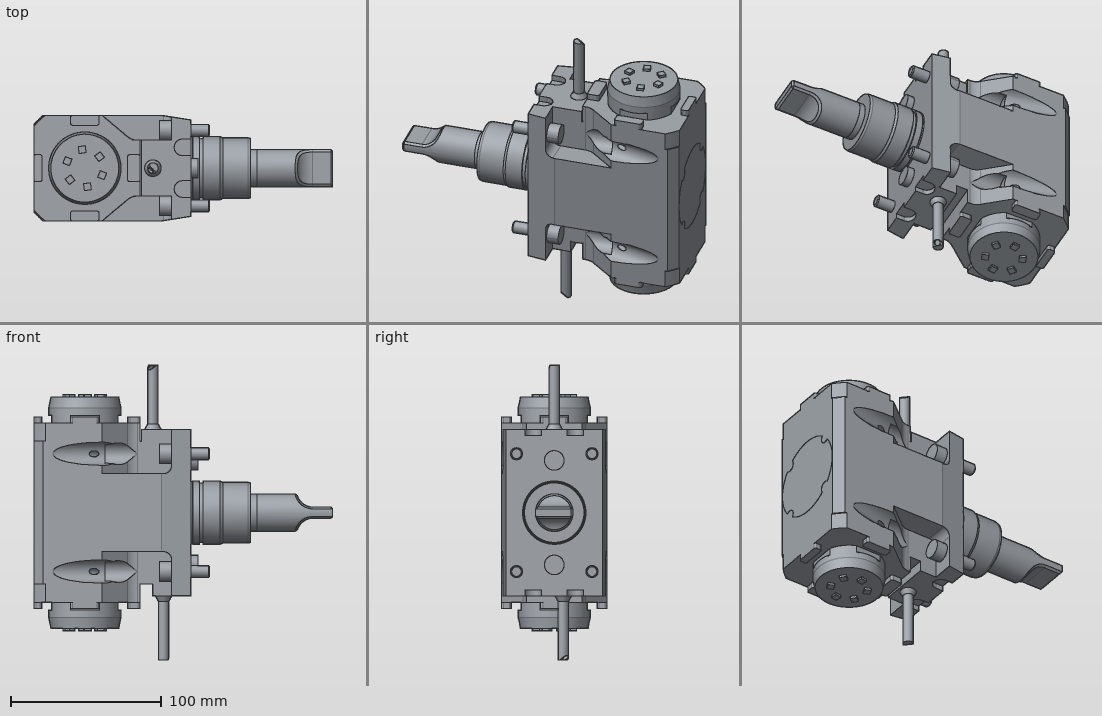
import cadquery as cq
import math


BACK_X = -104.0
HALF_WIDTH = 35.0
BODY_HALF_HEIGHT = 47.3
PLATE_HALF_HEIGHT = 59.4
PLATE_END_X = -33.5
PLATE_GAP = 0.8
BODY_CHAMFER = 6.0
PLATE_CORNER_RADIUS = 43.7
NECK_HALF_WIDTH = 18.5
SHOULDER_ANGLE = 40.0
SHOULDER_CORNER_X = -39.1
SHOULDER_FILLET = 10.0

FLANGE_BACK_X = -12.7
FLANGE_HALF_HEIGHT = 55.14
FLANGE_FACE_HALF_WIDTH = 32.0
RIB_END_X = -19.3
RIB_HALF_HEIGHT = 25.8
RIB_FILLET = 5.5
NECK_BOTTOM_STEP_X = -25.3
SLOT_WIDTH = 11.0
SLOT_LENGTH = 11.0
SLOT_DEPTH = 4.0
SLOT_Y = 13.8

HEAD_X = -70.2
HEAD_RADIUS = 24.0
HEAD_RIM_RADIUS = 22.5
HEAD_RIDGE_Z = 69.4
HEAD_FACE_Z = 76.6
HEAD_FLAT_DISTANCE = 22.0
HEAD_FLAT_TOP_Z = 64.5
HEAD_KEY_COUNT = 6
HEAD_KEY_SIZE = 4.6
HEAD_KEY_HEIGHT = 1.7
HEAD_KEY_CIRCLE_RADIUS = 12.4
HEAD_KEY_START_ANGLE = 38.0
LUG_TOP_Z = 63.5
LUG_GAP_RADIUS = 28.4
LUG_WIDTH_Y_SIDES = 18.8
LUG_WIDTH_X_SIDES = 18.0
LUG_FILLET = 1.4

COVER_RADIUS = 28.6
COVER_NOTCH_RADIUS = 4.0
COVER_RECESS = 0.1

SCREW_Y = 25.0
SCREW_Z = 39.0
SCREW_DIAMETER = 8.0
SCREW_END_X = 12.4
SCREW_CHAMFER = 0.8
SCREW_HEAD_DIAMETER = 13.0
SCREW_HEAD_HEIGHT = 8.0
GROOVE_RADIUS = 7.7
GROOVE_TIP_X = -91.2
GROOVE_ANGLE = 14.1
GROOVE_BORE_RADIUS = 7.2
GROOVE_BORE_START_X = -56.9
GROOVE_BORE_END_X = -33.0
COOLANT_HOLE_DIAMETER = 4.0
COOLANT_HOLE_X = -64.1
COOLANT_HOLE_DEPTH = 8.0
COOLANT_HOLE_ANGLE = 52.0
PIN_DIAMETER = 13.0
PIN_LENGTH = 4.8
PIN_Z = 34.6

SPINDLE_RADIUS = 21.0
SPINDLE_LEAD_RADIUS = 20.8
RING_GROOVE_RADIUS = 19.7
SPINDLE_BODY_RADIUS = 20.15
SPINDLE_TIP_RADIUS = 19.7
SPINDLE_COLLAR_X = 1.0
SPINDLE_COLLAR_BEVEL = 0.3
RING_GROOVE_START_X = 5.6
RING_GROOVE_END_X = 8.1
SPINDLE_COLLAR_END_X = 19.5
SPINDLE_BODY_X = 21.2
SPINDLE_BODY_END_X = 38.0
SPINDLE_END_X = 39.7
SHAFT_RADIUS = 12.5
SHAFT_LINE_X = 43.7
SHAFT_NECK_RADIUS = 12.45
TANG_START_X = 70.4
TANG_FLAT_X = 80.6
TANG_END_X = 94.0
TANG_HALF_THICKNESS = 3.8
TANG_CHAMFER = 1.3

PIPE_RADIUS = 3.5
PIPE_END_Z = 97.64
PIPE_BASE_RADIUS = 5.5
PIPE_BASE_HEIGHT = 3.6
TOP_PIPE_POSITION = (-25.1, 0.0)
BOTTOM_PIPE_POSITION = (-18.0, 6.0)
TOP_PIPE_DIRECTION = -135.0
BOTTOM_PIPE_DIRECTION = 45.0
PIPE_CUT_OFFSET = 0.5
PIPE_NOZZLE_DIAMETER = 4.0
PIPE_NOZZLE_DEPTH = 2.5

FAR = 200.0
SELECT_MARGIN = 0.1


def box(x_range, y_range, z_range):
    """Axis-aligned box spanning the given ranges."""
    size = [high - low for low, high in (x_range, y_range, z_range)]
    corner = [low for low, _ in (x_range, y_range, z_range)]
    return cq.Workplane("XY").box(*size, centered=False).translate(tuple(corner))


def x_cylinder(radius, x_start, x_end, y=0.0, z=0.0):
    """Cylinder whose axis is parallel to X."""
    return cq.Workplane("YZ", origin=(x_start, y, z)).circle(radius).extrude(x_end - x_start)


def mirrored_z(part):
    """The part joined with its mirror image below the XY plane."""
    return part.union(part.mirror("XY"))


def shoulder_outline(end_x):
    """Plan outline of the body, narrowing over sloped shoulders to the neck width."""
    slope_run = (HALF_WIDTH - NECK_HALF_WIDTH) / math.tan(math.radians(SHOULDER_ANGLE))
    shoulder_start_x = SHOULDER_CORNER_X - slope_run
    return cq.Workplane("XY").polyline([
        (BACK_X, -HALF_WIDTH),
        (shoulder_start_x, -HALF_WIDTH),
        (SHOULDER_CORNER_X, -NECK_HALF_WIDTH),
        (end_x, -NECK_HALF_WIDTH),
        (end_x, NECK_HALF_WIDTH),
        (SHOULDER_CORNER_X, NECK_HALF_WIDTH),
        (shoulder_start_x, HALF_WIDTH),
        (BACK_X, HALF_WIDTH),
    ]).close()


def shouldered_block(end_x, half_height):
    """Block with the shouldered outline and rounded inner corners, centred on Z = 0."""
    block = shoulder_outline(end_x).extrude(2 * half_height).translate((0, 0, -half_height))
    inner_corners = cq.selectors.BoxSelector(
        (SHOULDER_CORNER_X - SELECT_MARGIN, -FAR, -FAR), (SHOULDER_CORNER_X + SELECT_MARGIN, FAR, FAR)
    )
    return block.edges("|Z").edges(inner_corners).fillet(SHOULDER_FILLET)


def make_body():
    """Gear housing between the end plates, with chamfered rear corners."""
    body = shouldered_block(FLANGE_BACK_X, BODY_HALF_HEIGHT)
    return body.edges("|Z").edges("<X").chamfer(BODY_CHAMFER)


def make_end_plates():
    """Plates above and below the housing; their rear corners follow an arc about the head axis."""
    plates = shouldered_block(PLATE_END_X, PLATE_HALF_HEIGHT)
    corner_arc = (
        cq.Workplane("XY", origin=(HEAD_X, 0, -PLATE_HALF_HEIGHT))
        .circle(PLATE_CORNER_RADIUS)
        .extrude(2 * PLATE_HALF_HEIGHT)
    )
    front_half = box((HEAD_X, 0), (-HALF_WIDTH, HALF_WIDTH), (-PLATE_HALF_HEIGHT, PLATE_HALF_HEIGHT))
    plates = plates.intersect(corner_arc.union(front_half))
    full_width = (-HALF_WIDTH, HALF_WIDTH)
    housing_gap = box((BACK_X, 0), full_width, (-BODY_HALF_HEIGHT, BODY_HALF_HEIGHT))
    return plates.cut(housing_gap)


def make_flange():
    """Tapered flange, the central rib leading to it and the neck blocks above and below."""
    taper = cq.Workplane("XY").polyline([
        (SHOULDER_CORNER_X, -HALF_WIDTH),
        (RIB_END_X, -HALF_WIDTH),
        (0, -FLANGE_FACE_HALF_WIDTH),
        (0, FLANGE_FACE_HALF_WIDTH),
        (RIB_END_X, HALF_WIDTH),
        (SHOULDER_CORNER_X, HALF_WIDTH),
    ]).close().extrude(2 * FLANGE_HALF_HEIGHT).translate((0, 0, -FLANGE_HALF_HEIGHT))
    full_width = (-HALF_WIDTH, HALF_WIDTH)
    rib_height = (-RIB_HALF_HEIGHT, RIB_HALF_HEIGHT)
    plate = box((FLANGE_BACK_X, 0), full_width, (-FLANGE_HALF_HEIGHT, FLANGE_HALF_HEIGHT))
    rib = box((SHOULDER_CORNER_X, 0), full_width, rib_height)
    inner_corners = cq.selectors.BoxSelector(
        (FLANGE_BACK_X - SELECT_MARGIN, -FAR, -RIB_HALF_HEIGHT - SELECT_MARGIN),
        (FLANGE_BACK_X + SELECT_MARGIN, FAR, RIB_HALF_HEIGHT + SELECT_MARGIN),
    )
    flange = plate.union(rib).edges("|Y").edges(inner_corners).fillet(RIB_FILLET).intersect(taper)
    rib_root = box((HEAD_X, SHOULDER_CORNER_X), full_width, rib_height)
    neck_y = (-NECK_HALF_WIDTH, NECK_HALF_WIDTH)
    upper_neck = box((PLATE_END_X + PLATE_GAP, FLANGE_BACK_X), neck_y, (0, FLANGE_HALF_HEIGHT))
    lower_neck = box((NECK_BOTTOM_STEP_X, FLANGE_BACK_X), neck_y, (-FLANGE_HALF_HEIGHT, 0))
    return flange.union(rib_root).union(upper_neck).union(lower_neck)


def flange_slots():
    """Shallow U-shaped slots in the flange edges, open to the mounting face."""
    radius = SLOT_WIDTH / 2
    slots = cq.Workplane("XY")
    for y in (-SLOT_Y, SLOT_Y):
        slot = (
            cq.Workplane("XY", origin=(0, y, FLANGE_HALF_HEIGHT - SLOT_DEPTH))
            .moveTo(0, -radius)
            .lineTo(radius - SLOT_LENGTH, -radius)
            .threePointArc((-SLOT_LENGTH, 0), (radius - SLOT_LENGTH, radius))
            .lineTo(0, radius)
            .close()
            .extrude(SLOT_DEPTH)
        )
        slots = slots.union(slot)
    return mirrored_z(slots)


def make_head():
    """Upper cutter head: a flatted disc with a tapered rim and a ring of keys on its face."""
    head = cq.Workplane("XZ").polyline([
        (0, BODY_HALF_HEIGHT),
        (HEAD_RADIUS, BODY_HALF_HEIGHT),
        (HEAD_RADIUS, HEAD_RIDGE_Z),
        (HEAD_RIM_RADIUS, HEAD_FACE_Z),
        (0, HEAD_FACE_Z),
    ]).close().revolve(360, (0, 0), (0, 1))
    flat_zone = box((-FAR, FAR), (-FAR, FAR), (PLATE_HALF_HEIGHT, HEAD_FLAT_TOP_Z))
    flat_range = (-HEAD_FLAT_DISTANCE, HEAD_FLAT_DISTANCE)
    head = head.cut(flat_zone.cut(box(flat_range, flat_range, (0, FAR))))
    keys = (
        cq.Workplane("XY", origin=(0, 0, HEAD_FACE_Z))
        .polarArray(HEAD_KEY_CIRCLE_RADIUS, HEAD_KEY_START_ANGLE, 360, HEAD_KEY_COUNT)
        .rect(HEAD_KEY_SIZE, HEAD_KEY_SIZE)
        .extrude(HEAD_KEY_HEIGHT)
    )
    return head.union(keys).translate((HEAD_X, 0, 0))


def make_lugs():
    """Four lugs on the upper plate, one at the middle of each side of the head."""
    height = (BODY_HALF_HEIGHT, LUG_TOP_Z)
    wide = (HEAD_X - LUG_WIDTH_Y_SIDES / 2, HEAD_X + LUG_WIDTH_Y_SIDES / 2)
    deep = (-LUG_WIDTH_X_SIDES / 2, LUG_WIDTH_X_SIDES / 2)
    side = box(wide, (-HALF_WIDTH, -LUG_GAP_RADIUS), height)
    rear = box((BACK_X, HEAD_X - LUG_GAP_RADIUS), deep, height)
    front = box((HEAD_X + LUG_GAP_RADIUS, PLATE_END_X), deep, height)
    lugs = side.union(side.mirror("XZ")).union(rear).union(front)
    return lugs.edges("|Z").fillet(LUG_FILLET)


def driver_groove():
    """Sloped driver run-in to the upper -Y screw, a straight bore at its end and a coolant hole."""
    slope = math.radians(GROOVE_ANGLE)
    direction = cq.Vector(math.cos(slope), math.sin(slope), 0)
    axis_start = cq.Vector(
        GROOVE_TIP_X + GROOVE_RADIUS * math.sin(slope),
        -HALF_WIDTH - GROOVE_RADIUS * math.cos(slope),
        SCREW_Z,
    )
    run_length = (SHOULDER_CORNER_X - GROOVE_TIP_X) / math.cos(slope)
    start = axis_start - direction * GROOVE_RADIUS
    sloped = cq.Solid.makeCylinder(GROOVE_RADIUS, run_length + GROOVE_RADIUS, start, direction)
    bore_y = -NECK_HALF_WIDTH - GROOVE_BORE_RADIUS
    bore = x_cylinder(GROOVE_BORE_RADIUS, GROOVE_BORE_START_X, GROOVE_BORE_END_X, bore_y, SCREW_Z)

    hole_angle = math.radians(COOLANT_HOLE_ANGLE)
    hole_direction = cq.Vector(math.cos(hole_angle), math.sin(hole_angle), 0)
    hole_mouth = cq.Vector(
        COOLANT_HOLE_X, -HALF_WIDTH + (COOLANT_HOLE_X - GROOVE_TIP_X) * math.tan(slope), SCREW_Z
    )
    hole = cq.Solid.makeCylinder(
        COOLANT_HOLE_DIAMETER / 2,
        2 * COOLANT_HOLE_DEPTH,
        hole_mouth - hole_direction * COOLANT_HOLE_DEPTH,
        hole_direction,
    )
    return bore.union(cq.Workplane(sloped)).union(cq.Workplane(hole))


def driver_grooves():
    """Driver grooves for all four screws."""
    upper = driver_groove()
    return mirrored_z(upper.union(upper.mirror("XZ")))


def cover_imprint():
    """Shallow round recess in the rear face with four round screw bites left standing."""
    cover = x_cylinder(COVER_RADIUS, BACK_X, BACK_X + COVER_RECESS)
    bite_offset = COVER_RADIUS * math.cos(math.radians(45))
    for y in (-bite_offset, bite_offset):
        for z in (-bite_offset, bite_offset):
            cover = cover.cut(x_cylinder(COVER_NOTCH_RADIUS, BACK_X, 0, y, z))
    return cover


def make_fasteners():
    """Four cap screws through the flange and two locating pins on its face."""
    fasteners = cq.Workplane("XY")
    for y in (-SCREW_Y, SCREW_Y):
        for z in (-SCREW_Z, SCREW_Z):
            thread = x_cylinder(SCREW_DIAMETER / 2, FLANGE_BACK_X, SCREW_END_X, y, z)
            thread = thread.faces(">X").chamfer(SCREW_CHAMFER)
            head_start = FLANGE_BACK_X - SCREW_HEAD_HEIGHT
            head = x_cylinder(SCREW_HEAD_DIAMETER / 2, head_start, FLANGE_BACK_X, y, z)
            fasteners = fasteners.union(thread.union(head))
    for z in (-PIN_Z, PIN_Z):
        fasteners = fasteners.union(x_cylinder(PIN_DIAMETER / 2, FLANGE_BACK_X, PIN_LENGTH, 0, z))
    return fasteners


def make_spindle():
    """Stepped spindle nose and shaft."""
    spindle = cq.Workplane("XY").polyline([
        (FLANGE_BACK_X, 0),
        (FLANGE_BACK_X, SPINDLE_LEAD_RADIUS),
        (SPINDLE_COLLAR_X, SPINDLE_LEAD_RADIUS),
        (SPINDLE_COLLAR_X + SPINDLE_COLLAR_BEVEL, SPINDLE_RADIUS),
        (RING_GROOVE_START_X, SPINDLE_RADIUS),
        (RING_GROOVE_START_X, RING_GROOVE_RADIUS),
        (RING_GROOVE_END_X, RING_GROOVE_RADIUS),
        (RING_GROOVE_END_X, SPINDLE_RADIUS),
        (SPINDLE_COLLAR_END_X, SPINDLE_RADIUS),
        (SPINDLE_BODY_X, SPINDLE_BODY_RADIUS),
        (SPINDLE_BODY_END_X, SPINDLE_BODY_RADIUS),
        (SPINDLE_END_X, SPINDLE_TIP_RADIUS),
        (SPINDLE_END_X, SHAFT_NECK_RADIUS),
        (SHAFT_LINE_X, SHAFT_NECK_RADIUS),
        (SHAFT_LINE_X, 0),
    ]).close().revolve(360, (0, 0), (1, 0))
    return spindle.union(make_shaft())


def make_shaft():
    """Shaft end milled to a flat driving tang that is reached through two round run-outs."""
    shaft = x_cylinder(SHAFT_RADIUS, SHAFT_LINE_X, TANG_END_X)
    run = TANG_FLAT_X - TANG_START_X
    rise = SHAFT_RADIUS - TANG_HALF_THICKNESS
    arc_radius = (run ** 2 + rise ** 2) / (2 * rise)
    half_sweep = math.atan2(run, arc_radius - rise) / 2
    arc_middle = (
        TANG_FLAT_X - arc_radius * math.sin(half_sweep),
        TANG_HALF_THICKNESS + arc_radius * (1 - math.cos(half_sweep)),
    )
    milling = (
        cq.Workplane("XZ", origin=(0, SHAFT_RADIUS, 0))
        .moveTo(TANG_START_X, SHAFT_RADIUS)
        .threePointArc(arc_middle, (TANG_FLAT_X, TANG_HALF_THICKNESS))
        .lineTo(TANG_END_X, TANG_HALF_THICKNESS)
        .lineTo(TANG_END_X, SHAFT_RADIUS)
        .close()
        .extrude(2 * SHAFT_RADIUS)
    )
    shaft = shaft.cut(mirrored_z(milling))
    half_flat = TANG_HALF_THICKNESS / 2
    upper_side = cq.selectors.BoxSelector((TANG_START_X, -FAR, half_flat), (FAR, FAR, FAR))
    lower_side = cq.selectors.BoxSelector((TANG_START_X, -FAR, -FAR), (FAR, FAR, -half_flat))
    run_out_line = cq.selectors.BoxSelector(
        (TANG_FLAT_X - SELECT_MARGIN, -SELECT_MARGIN, -FAR),
        (TANG_FLAT_X + SELECT_MARGIN, SELECT_MARGIN, FAR),
    )
    rim = shaft.edges(upper_side + lower_side - run_out_line)
    return rim.chamfer(TANG_CHAMFER)


def make_pipe(position, cut_direction):
    """Upper coolant pipe with a conical foot and a nozzle hole in its 45 degree end cut."""
    foot_top_z = FLANGE_HALF_HEIGHT + PIPE_BASE_HEIGHT
    pipe = cq.Workplane("XZ").polyline([
        (0, BODY_HALF_HEIGHT),
        (PIPE_BASE_RADIUS, BODY_HALF_HEIGHT),
        (PIPE_BASE_RADIUS, FLANGE_HALF_HEIGHT),
        (PIPE_RADIUS, foot_top_z),
        (PIPE_RADIUS, PIPE_END_Z),
        (0, PIPE_END_Z),
    ]).close().revolve(360, (0, 0), (0, 1))
    outward = cq.Vector(1, 0, 1).normalized()
    cut_plane = cq.Plane(
        origin=(PIPE_CUT_OFFSET, 0, PIPE_END_Z), xDir=(0, 1, 0), normal=outward.toTuple()
    )
    pipe = pipe.cut(cq.Workplane(cut_plane).rect(FAR, FAR).extrude(FAR))
    drop = (PIPE_RADIUS - PIPE_CUT_OFFSET) / 2
    nozzle = cq.Solid.makeCylinder(
        PIPE_NOZZLE_DIAMETER / 2,
        PIPE_NOZZLE_DEPTH,
        cq.Vector(PIPE_CUT_OFFSET + drop, 0, PIPE_END_Z - drop),
        outward * -1,
    )
    pipe = pipe.cut(cq.Workplane(nozzle)).rotate((0, 0, 0), (0, 0, 1), cut_direction)
    return pipe.translate((*position, 0))


body = make_body().union(make_end_plates()).union(make_flange())
body = body.cut(driver_grooves()).cut(flange_slots()).cut(cover_imprint())
heads = mirrored_z(make_head().union(make_lugs()))
result = (
    body.union(heads)
    .union(make_fasteners())
    .union(make_spindle())
    .union(make_pipe(TOP_PIPE_POSITION, TOP_PIPE_DIRECTION))
    .union(make_pipe(BOTTOM_PIPE_POSITION, BOTTOM_PIPE_DIRECTION).mirror("XY"))
)